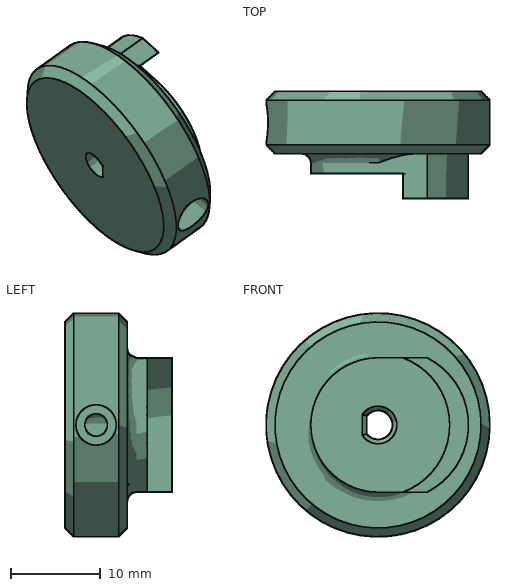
import cadquery as cq
import math

rim_radius = 12.5
rim_thickness = 7
rim_chamfer = 1

hub_radius = 7.5
hub_fillet = 1
hub_face_depth = 9.2
lug_end_depth = 12
lug_outer_radius = 8.4
lug_outer_center_x = 1.7
lug_inner_radius = 8

bore_radius = 1.6
bore_flat_x = -1.25
bore_chamfer = 0.5

screw_hole_diameter = 2.5
screw_head_diameter = 4.5
screw_seat_x = -10


def make_rim():
    disc = cq.Workplane("XZ").circle(rim_radius).extrude(rim_thickness)
    return disc.faces("<Y or >Y").chamfer(rim_chamfer)


def make_hub():
    """Round hub, flared by a concave fillet where it meets the rim."""
    fillet_offset = hub_fillet * (1 - math.sqrt(0.5))
    return (
        cq.Workplane("XY")
        .moveTo(0, -rim_thickness)
        .lineTo(hub_radius + hub_fillet, -rim_thickness)
        .threePointArc(
            (hub_radius + fillet_offset, -rim_thickness - fillet_offset),
            (hub_radius, -rim_thickness - hub_fillet),
        )
        .lineTo(hub_radius, -hub_face_depth)
        .lineTo(0, -hub_face_depth)
        .close()
        .revolve(360, (0, 0, 0), (0, 1, 0))
    )


def make_lug():
    """Flat-sided extension of the hub towards +X, with a raised outer wall."""
    corner_x = lug_outer_center_x + math.sqrt(lug_outer_radius**2 - hub_radius**2)
    body = (
        cq.Workplane("XZ", origin=(0, -rim_thickness, 0))
        .moveTo(0, -hub_radius)
        .lineTo(corner_x, -hub_radius)
        .threePointArc((lug_outer_center_x + lug_outer_radius, 0), (corner_x, hub_radius))
        .lineTo(0, hub_radius)
        .close()
        .extrude(lug_end_depth - rim_thickness)
    )
    recess = (
        cq.Workplane("XZ", origin=(0, -hub_face_depth, 0))
        .circle(lug_inner_radius)
        .extrude(lug_end_depth - hub_face_depth)
    )
    return body.cut(recess)


def d_profile(plane, growth):
    """D outline of the bore, offset outwards by growth."""
    radius = bore_radius + growth
    flat_x = bore_flat_x - growth
    half_flat = math.sqrt(radius**2 - flat_x**2)
    return (
        plane.moveTo(flat_x, -half_flat)
        .threePointArc((radius, 0), (flat_x, half_flat))
        .close()
    )


def make_bore():
    """D-shaped bore with a 45 degree lead-in at the hub face."""
    through = d_profile(cq.Workplane("XZ"), 0).extrude(hub_face_depth)
    mouth_plane = cq.Workplane("XZ", origin=(0, -hub_face_depth, 0))
    mouth = d_profile(mouth_plane, bore_chamfer).extrude(-bore_chamfer, taper=45)
    return through.union(mouth)


def make_screw_hole():
    """Radial hole into the bore, with a flat-bottomed counterbore at the rim."""
    entry = cq.Workplane("YZ", origin=(-rim_radius, -rim_thickness / 2, 0))
    hole = entry.circle(screw_hole_diameter / 2).extrude(rim_radius)
    counterbore = entry.circle(screw_head_diameter / 2).extrude(screw_seat_x + rim_radius)
    return hole.union(counterbore)


result = (
    make_rim()
    .union(make_hub())
    .union(make_lug())
    .cut(make_bore())
    .cut(make_screw_hole())
)